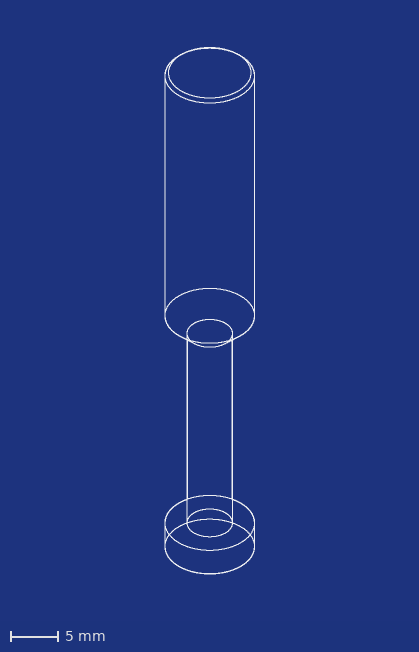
import cadquery as cq

total_height = 63.5
body_diameter = 9.5

foot_height = 3.2
stem_diameter = 4.8

body_length = 32.6
shoulder_height = (body_diameter - stem_diameter) / 2
body_bottom = total_height - body_length
stem_top = body_bottom - shoulder_height

top_chamfer = 0.4

body_radius = body_diameter / 2
stem_radius = stem_diameter / 2

profile = (
    cq.Workplane("XZ")
    .moveTo(0, 0)
    .lineTo(body_radius, 0)
    .lineTo(body_radius, foot_height)
    .lineTo(stem_radius, foot_height)
    .lineTo(stem_radius, stem_top)
    .lineTo(body_radius, body_bottom)
    .lineTo(body_radius, total_height - top_chamfer)
    .lineTo(body_radius - top_chamfer, total_height)
    .lineTo(0, total_height)
    .close()
)

result = profile.revolve(360, (0, 0, 0), (0, 1, 0))